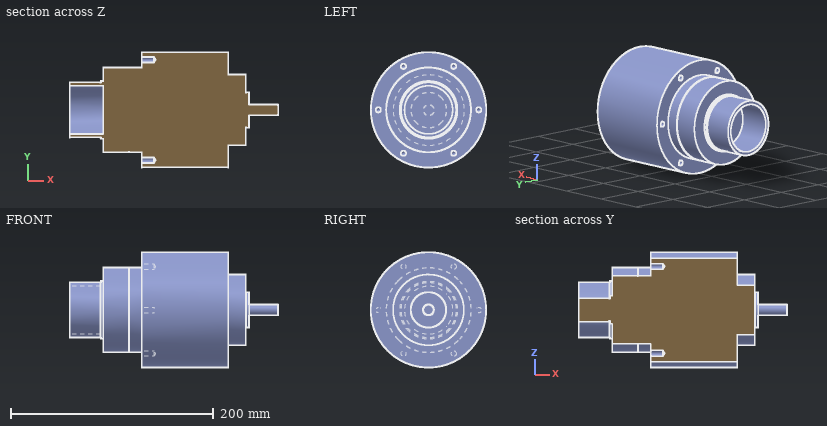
import cadquery as cq
import math

TUBE_DIA = 55.0
TUBE_BORE_DIA = 47.6
COLLAR_DIA = 57.2
NECK_DIA = 84.1
BODY_DIA = 114.3
HUB_DIA = 70.0
PILOT_DIA = 35.3
SHAFT_DIA = 11.0

TUBE_LENGTH = 30.7
COLLAR_LENGTH = 2.4
NECK_LENGTH = 37.9
BODY_LENGTH = 85.7
HUB_LENGTH = 17.3
PILOT_LENGTH = 3.2
OVERALL_LENGTH = 205.99
SHAFT_LENGTH = OVERALL_LENGTH - (
    TUBE_LENGTH + COLLAR_LENGTH + NECK_LENGTH + BODY_LENGTH + HUB_LENGTH + PILOT_LENGTH
)

SHAFT_CHAMFER = 0.4

GROOVE_DEPTH = 0.3
RELIEF_WIDTH = 0.6
JOINT_WIDTH = 0.4
JOINT_OFFSET = 25.1

HOLE_COUNT = 6
HOLE_DIA = 5.2
HOLE_CIRCLE_DIA = 99.2
HOLE_DEPTH = 12.0
DRILL_POINT_ANGLE = 118.0

COLLAR_X = TUBE_LENGTH
NECK_X = COLLAR_X + COLLAR_LENGTH
BODY_X = NECK_X + NECK_LENGTH
HUB_X = BODY_X + BODY_LENGTH
PILOT_X = HUB_X + HUB_LENGTH
SHAFT_X = PILOT_X + PILOT_LENGTH


def cylinder(start_x, length, diameter):
    """Solid cylinder on the X axis, growing toward +X."""
    return cq.Workplane("YZ", origin=(start_x, 0, 0)).circle(diameter / 2).extrude(length)


def ring_groove(start_x, width, diameter):
    """Ring cutter that grooves a section of the given diameter."""
    return cylinder(start_x, width, diameter).cut(cylinder(start_x, width, diameter - 2 * GROOVE_DEPTH))


def drilled_hole():
    """Blind hole cutter with a conical drill point, opening on the body's front shoulder."""
    radius = HOLE_DIA / 2
    point_length = radius / math.tan(math.radians(DRILL_POINT_ANGLE / 2))
    bottom_x = BODY_X + HOLE_DEPTH
    return (
        cq.Workplane("XY")
        .moveTo(BODY_X, 0)
        .lineTo(BODY_X, radius)
        .lineTo(bottom_x, radius)
        .lineTo(bottom_x + point_length, 0)
        .close()
        .revolve(360, (0, 0, 0), (1, 0, 0))
    )


def turned_sections():
    """Stepped round body with a chamfered shaft end."""
    shaft = cylinder(SHAFT_X, SHAFT_LENGTH, SHAFT_DIA).faces(">X").chamfer(SHAFT_CHAMFER)
    return (
        cylinder(0, TUBE_LENGTH, TUBE_DIA)
        .union(cylinder(COLLAR_X, COLLAR_LENGTH, COLLAR_DIA))
        .union(cylinder(NECK_X, NECK_LENGTH, NECK_DIA))
        .union(cylinder(BODY_X, BODY_LENGTH, BODY_DIA))
        .union(cylinder(HUB_X, HUB_LENGTH, HUB_DIA))
        .union(cylinder(PILOT_X, PILOT_LENGTH, PILOT_DIA))
        .union(shaft)
    )


def cut_grooves(part):
    """Relief grooves at the roots of the tube and pilot, and the joint groove round the neck."""
    tube_relief = ring_groove(COLLAR_X - RELIEF_WIDTH, RELIEF_WIDTH, TUBE_DIA)
    joint = ring_groove(NECK_X + JOINT_OFFSET, JOINT_WIDTH, NECK_DIA)
    pilot_relief = ring_groove(PILOT_X, RELIEF_WIDTH, PILOT_DIA)
    return part.cut(tube_relief).cut(joint).cut(pilot_relief)


def cut_bore(part):
    """Flat-bottomed tube bore that ends level with the neck's front face."""
    return part.cut(cylinder(0, NECK_X, TUBE_BORE_DIA))


def cut_shoulder_holes(part):
    """Holes equally spaced round the shoulder, the first on the +Y side."""
    for index in range(HOLE_COUNT):
        angle = index * 360 / HOLE_COUNT
        hole = drilled_hole().translate((0, HOLE_CIRCLE_DIA / 2, 0)).rotate((0, 0, 0), (1, 0, 0), angle)
        part = part.cut(hole)
    return part


result = turned_sections()
result = cut_grooves(result)
result = cut_bore(result)
result = cut_shoulder_holes(result)